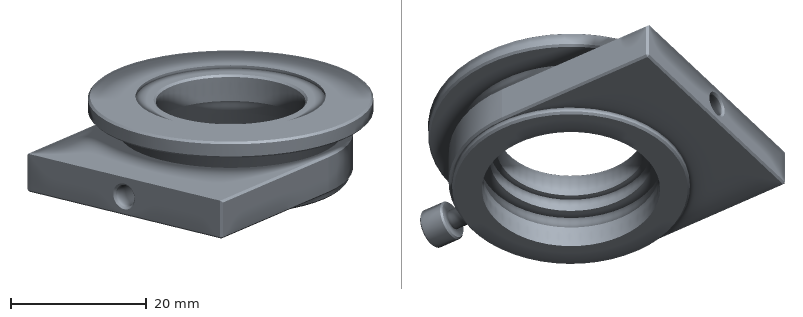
import cadquery as cq
import math

total_height = 12.5
bottom_ring_height = 1.0
plate_thickness = 5.95
flange_thickness = 2.5
plate_top = bottom_ring_height + plate_thickness
plate_middle = bottom_ring_height + plate_thickness / 2
flange_bottom = total_height - flange_thickness

flange_diameter = 42.0
neck_diameter = 33.0
bottom_ring_diameter = 35.0
plate_width = 36.0
plate_front = 26.0
edge_chamfer = 0.3

recess_diameter = 28.0
recess_depth = 0.5
bore_diameter = 22.05
bore_end = 7.95
cavity_diameter = 27.25
lower_bore_diameter = 26.2
ledge_height = 3.55
cavity_step_height = 5.8
upper_cavity_diameter = 23.95

screw_tip_reach = 25.0
screw_head_length = 4.0
screw_head_diameter = 5.95
screw_shank_diameter = 3.0
screw_chamfer = 0.25
shank_engagement = 1.0
shank_start = plate_width / 2 - shank_engagement

hole_diameter = 3.35
hole_depth = 6.1
hole_mouth_chamfer = 0.3
drill_point_angle = 118


def disc(diameter, bottom, top):
    """Solid cylinder on the bore axis between two heights."""
    return cq.Workplane("XY").workplane(offset=bottom).circle(diameter / 2).extrude(top - bottom)


def bevelled_bottom_ring():
    ring = disc(bottom_ring_diameter, 0, bottom_ring_height)
    return ring.faces("<Z").edges().chamfer(edge_chamfer)


def mounting_plate():
    """Square-ended plate with a half-round far end."""
    half_width = plate_width / 2
    outline = (
        cq.Workplane("XY")
        .workplane(offset=bottom_ring_height)
        .moveTo(-half_width, -plate_front)
        .lineTo(half_width, -plate_front)
        .lineTo(half_width, 0)
        .threePointArc((0, half_width), (-half_width, 0))
        .close()
    )
    plate = outline.extrude(plate_thickness)
    return plate.edges("(|Z and <Y) or <Z or (>Z and (not <Y))").chamfer(edge_chamfer)


def flange():
    return disc(flange_diameter, flange_bottom, total_height).edges().chamfer(edge_chamfer)


def stepped_bore():
    """Material removed along the bore axis."""
    recess_floor = total_height - recess_depth
    cutter = disc(recess_diameter, recess_floor, total_height)
    cutter = cutter.union(disc(bore_diameter, bore_end, recess_floor))
    mouth = (
        cq.Workplane("XY")
        .workplane(offset=recess_floor - edge_chamfer)
        .circle(bore_diameter / 2)
        .workplane(offset=edge_chamfer)
        .circle(bore_diameter / 2 + edge_chamfer)
        .loft()
    )
    cutter = cutter.union(mouth)
    cutter = cutter.union(disc(upper_cavity_diameter, cavity_step_height, bore_end))
    cutter = cutter.union(disc(cavity_diameter, ledge_height, cavity_step_height))
    return cutter.union(disc(lower_bore_diameter, 0, ledge_height))


def rod_along_y(diameter, start, end):
    """Solid cylinder parallel to Y at the middle of the plate thickness."""
    plane = cq.Plane(origin=(0, start, plate_middle), xDir=(1, 0, 0), normal=(0, 1, 0))
    return cq.Workplane(plane).circle(diameter / 2).extrude(end - start)


def clamping_screw():
    head_start = screw_tip_reach - screw_head_length
    head = rod_along_y(screw_head_diameter, head_start, screw_tip_reach).edges().chamfer(screw_chamfer)
    return head.union(rod_along_y(screw_shank_diameter, shank_start, head_start))


def mounting_hole():
    """Blind drilled hole with a conical end and a chamfered mouth."""
    radius = hole_diameter / 2
    point_length = radius / math.tan(math.radians(drill_point_angle / 2))
    mouth_radius = radius + hole_mouth_chamfer
    profile = (
        cq.Workplane("XY")
        .workplane(offset=plate_middle)
        .moveTo(0, -plate_front)
        .lineTo(mouth_radius, -plate_front)
        .lineTo(radius, -plate_front + hole_mouth_chamfer)
        .lineTo(radius, -plate_front + hole_depth)
        .lineTo(0, -plate_front + hole_depth + point_length)
        .close()
    )
    return profile.revolve(360, (0, 0, 0), (0, 1, 0))


body = bevelled_bottom_ring().union(mounting_plate())
body = body.union(disc(neck_diameter, plate_top, flange_bottom)).union(flange())
result = body.union(clamping_screw()).cut(stepped_bore()).cut(mounting_hole())